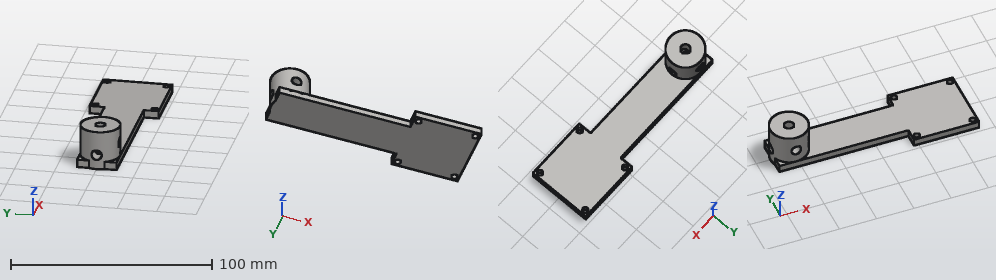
import cadquery as cq

total_length = 105.0
total_height = 20.0
plate_thickness = 4.0

head_side = 35.0
corner_hole_diameter = 3.0
corner_hole_spacing = 30.0

hub_diameter = 20.0
hub_radius = hub_diameter / 2
hub_overhang = 0.8

bore_diameter = 5.0
side_bore_height = 11.3
end_bore_height = 7.6
top_bore_depth = total_height - plate_thickness

arm_start = hub_overhang - hub_radius
head_end = total_length - hub_radius
head_start = head_end - head_side
head_center = head_end - head_side / 2


def make_plate():
    """Arm as wide as the hub, running into the square head."""
    arm = cq.Workplane("XY").box(
        head_start - arm_start, hub_diameter, plate_thickness, centered=(False, True, False)
    ).translate((arm_start, 0, 0))
    head = cq.Workplane("XY").center(head_center, 0).rect(head_side, head_side).extrude(plate_thickness)
    return arm.union(head)


def make_corner_holes():
    return (
        cq.Workplane("XY")
        .center(head_center, 0)
        .rect(corner_hole_spacing, corner_hole_spacing, forConstruction=True)
        .vertices()
        .circle(corner_hole_diameter / 2)
        .extrude(plate_thickness)
    )


def make_cross_bore(plane, height):
    """Horizontal bore through the full hub, normal to the given plane."""
    return (
        cq.Workplane(plane, origin=(0, 0, height))
        .circle(bore_diameter / 2)
        .extrude(hub_radius, both=True)
    )


def make_top_bore():
    """Blind bore on the hub axis, reaching down to the level of the plate top."""
    return (
        cq.Workplane("XY", origin=(0, 0, total_height))
        .circle(bore_diameter / 2)
        .extrude(-top_bore_depth)
    )


hub = cq.Workplane("XY").circle(hub_radius).extrude(total_height)

result = (
    make_plate()
    .union(hub)
    .cut(make_corner_holes())
    .cut(make_cross_bore("XZ", side_bore_height))
    .cut(make_cross_bore("YZ", end_bore_height))
    .cut(make_top_bore())
)